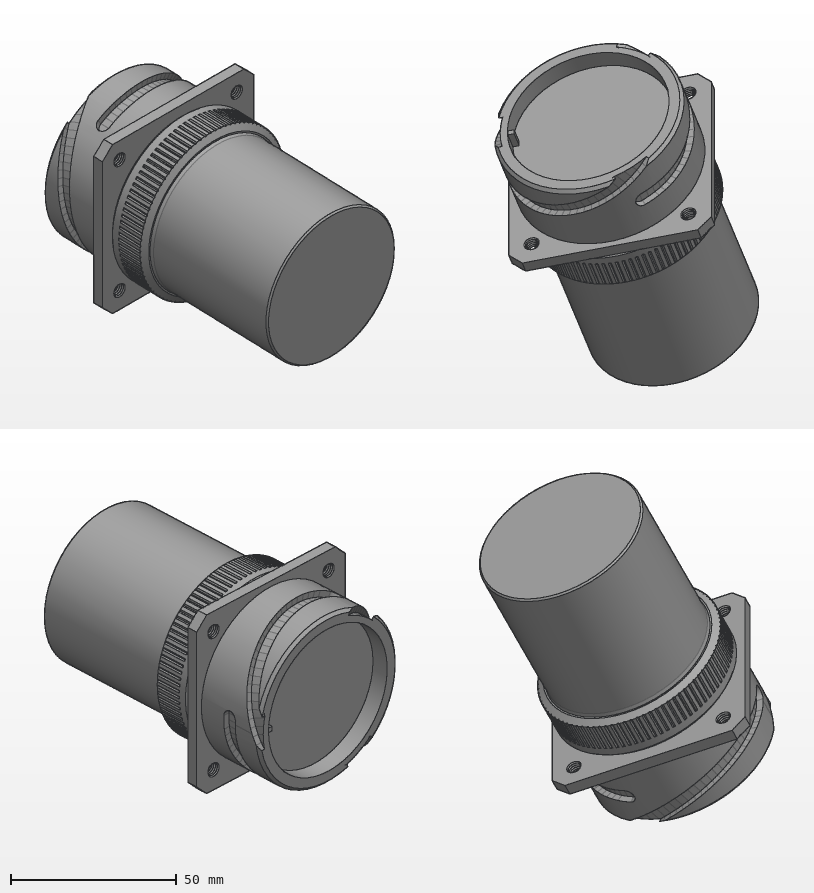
import cadquery as cq
import math

total_length = 94.5
flange_start = 24.2
flange_thickness = 3.8
flange_end = flange_start + flange_thickness
neck_end = 28.7
ring_start = 29.5
knurl_start = 33.4
ring_cone_start = 42.6
ring_cone_end = 43.9
barrel_start = 45.2

shell_radius = 29.8
shell_chamfer = 1.0
neck_radius = 26.3
neck_groove_radius = neck_radius - (ring_start - neck_end)
ring_radius = 30.1
ring_chamfer = 1.1
ring_cone_radius = 27.8
barrel_radius = 26.9
collar_radius = 27.2
barrel_chamfer = 0.6

flange_side = 63.5
flange_corner_chamfer = 4.25
hole_spacing = 49.1
thread_major_radius = 2.4
thread_minor_radius = 2.0
thread_turns = 5

recess_radius = 25.3
recess_depth = 6.05
key_width = 1.6
key_height = 2.0
key_setback = 0.5

knurl_count = 90
knurl_width = 0.9
knurl_depth = 0.4
knurl_phase = 1.0

slot_count = 3
slot_width = 4.9
slot_floor_radius = 27.6
slot_mouth_angle = 3.2
slot_lead_in = -13.0
slot_level_angle = 105.0
slot_end_angle = 119.2
slot_level_x = 12.2
slot_mouth_x = 0.7
slot_steps = 27

cut_margin = 1.9


def turned_body():
    profile = [
        (0, 0),
        (0, shell_radius - shell_chamfer),
        (shell_chamfer, shell_radius),
        (flange_end, shell_radius),
        (flange_end, neck_radius),
        (neck_end, neck_radius),
        (ring_start, neck_groove_radius),
        (ring_start, ring_radius - ring_chamfer),
        (ring_start + ring_chamfer, ring_radius),
        (ring_cone_start, ring_radius),
        (ring_cone_end, ring_cone_radius),
        (ring_cone_end, collar_radius),
        (barrel_start, barrel_radius),
        (total_length - barrel_chamfer, barrel_radius),
        (total_length, barrel_radius - barrel_chamfer),
        (total_length, 0),
    ]
    return cq.Workplane("XY").polyline(profile).close().revolve(360, (0, 0, 0), (1, 0, 0))


def square_flange():
    return (
        cq.Workplane("YZ", origin=(flange_start, 0, 0))
        .rect(flange_side, flange_side)
        .extrude(flange_thickness)
        .edges("|X")
        .chamfer(flange_corner_chamfer)
    )


def flange_holes():
    """Threaded holes, with the thread simplified to a stack of V-shaped rings."""
    pitch = flange_thickness / thread_turns
    profile = [(flange_start, 0), (flange_start, thread_major_radius)]
    for i in range(thread_turns):
        turn_start = flange_start + i * pitch
        profile.append((turn_start + pitch / 2, thread_minor_radius))
        profile.append((turn_start + pitch, thread_major_radius))
    profile.append((flange_end, 0))
    hole = cq.Workplane("XY").polyline(profile).close().revolve(360, (0, 0, 0), (1, 0, 0))

    holes = cq.Workplane("XY")
    for y in (-hole_spacing / 2, hole_spacing / 2):
        for z in (-hole_spacing / 2, hole_spacing / 2):
            holes = holes.union(hole.translate((0, y, z)))
    return holes


def front_recess():
    return cq.Workplane("YZ").circle(recess_radius).extrude(recess_depth)


def recess_key():
    inner = recess_radius - key_height
    wall_overlap = 0.9
    return (
        cq.Workplane("XY")
        .box(recess_depth - key_setback, key_height + wall_overlap, key_width, centered=(False, False, True))
        .translate((key_setback, inner, 0))
    )


def knurl_grooves():
    """V grooves that stop where the cone at the back of the ring begins."""
    half_width = knurl_width / 2
    profile = [
        (-half_width, ring_radius + cut_margin),
        (-half_width, ring_radius),
        (0, ring_radius - knurl_depth),
        (half_width, ring_radius),
        (half_width, ring_radius + cut_margin),
    ]
    groove = (
        cq.Workplane("YZ", origin=(knurl_start, 0, 0))
        .polyline(profile)
        .close()
        .extrude(ring_cone_start - knurl_start)
        .val()
    )
    pitch = 360 / knurl_count
    grooves = [
        groove.rotate(cq.Vector(0, 0, 0), cq.Vector(1, 0, 0), knurl_phase + i * pitch)
        for i in range(knurl_count)
    ]
    return cq.Compound.makeCompound(grooves)


def remaining_lead(angle):
    """Fraction of the curved lead still to come, zero where the slot runs level."""
    return max(slot_level_angle - angle, 0) / slot_level_angle


def slot_centre_x(angle):
    """Parabolic lead from the mating face that levels off before the slot end."""
    remaining = remaining_lead(angle)
    return slot_level_x - (slot_level_x - slot_mouth_x) * remaining**2


def slot_slope(angle):
    """Slope of the slot centreline: axial travel per unit of travel round the shell."""
    remaining = remaining_lead(angle)
    travel_per_degree = 2 * (slot_level_x - slot_mouth_x) * remaining / slot_level_angle
    return travel_per_degree / (math.radians(1) * shell_radius)


def radial_direction(angle):
    """Outward unit vector at a slot angle, which turns from +Y towards +Z."""
    turn = math.radians(slot_mouth_angle + angle)
    return cq.Vector(0, math.cos(turn), math.sin(turn))


def slot_section(angle):
    """Radial rectangle square to the slot centreline."""
    outward = radial_direction(angle)
    axis = cq.Vector(1, 0, 0)
    around = axis.cross(outward)
    tilt = math.atan(slot_slope(angle))
    half_across = (axis * math.cos(tilt) - around * math.sin(tilt)) * (slot_width / 2)
    centre = axis * slot_centre_x(angle)
    floor = centre + outward * slot_floor_radius
    top = centre + outward * (shell_radius + cut_margin)
    corners = [floor - half_across, floor + half_across, top + half_across, top - half_across]
    return cq.Wire.makePolygon(corners, close=True)


def bayonet_slot():
    step = (slot_end_angle - slot_lead_in) / slot_steps
    sections = [slot_section(slot_lead_in + i * step) for i in range(slot_steps + 1)]
    track = cq.Solid.makeLoft(sections, True)
    outward = radial_direction(slot_end_angle)
    round_end = cq.Solid.makeCylinder(
        slot_width / 2,
        shell_radius + cut_margin - slot_floor_radius,
        cq.Vector(slot_level_x, 0, 0) + outward * slot_floor_radius,
        outward,
    )
    return cq.Workplane(track).union(cq.Workplane(round_end))


body = turned_body().union(square_flange()).cut(flange_holes())
body = body.cut(front_recess()).union(recess_key())
body = body.cut(cq.Workplane(knurl_grooves()))
slot = bayonet_slot()
for slot_index in range(slot_count):
    body = body.cut(slot.rotate((0, 0, 0), (1, 0, 0), slot_index * 360 / slot_count))

result = cq.Workplane(body.solids().val())